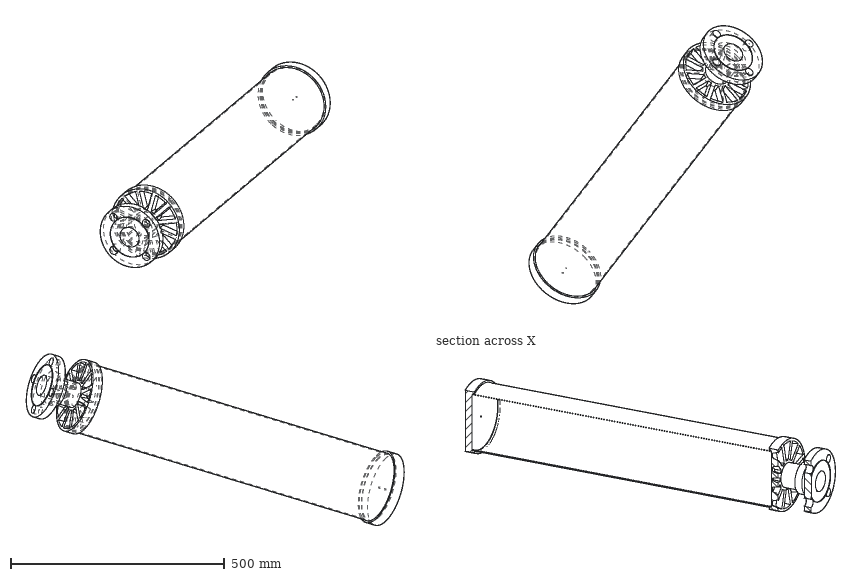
import cadquery as cq
import math

LENGTH = 927.0
REAR_END = LENGTH / 2
FRONT_END = -LENGTH / 2

TUBE_OD = 165.0
TUBE_ID = 160.0

CAP_OD = 175.0
CAP_LENGTH = 25.0
SOCKET_DIAMETER = 166.0
SOCKET_DEPTH = 6.0
VENT_DIAMETER = 3.0
REAR_CAP_OPEN_END = REAR_END - CAP_LENGTH
FRONT_CAP_FACE = -375.0
FRONT_CAP_OPEN_END = FRONT_CAP_FACE + CAP_LENGTH

RIB_COUNT = 12
RIB_WIDTH = 10.0
POCKET_OD = 162.0
POCKET_ID = 72.0
POCKET_DEPTH = 15.0
POCKET_DRAFT = 12.0

PIPE_OD = 60.0
BORE_DIAMETER = 49.0
HUB_OD = 77.0
HUB_LENGTH = 19.0
HUB_CONE_OD = 83.0
HUB_CONE_LENGTH = 8.0
FLANGE_OD = 154.0
FLANGE_THICKNESS = 19.0
RAISED_FACE_OD = 100.0
RAISED_FACE_HEIGHT = 2.0
FLANGE_FACE = FRONT_END + RAISED_FACE_HEIGHT
FLANGE_BACK = FLANGE_FACE + FLANGE_THICKNESS
HUB_FRONT = FLANGE_BACK + HUB_CONE_LENGTH
HUB_BACK = HUB_FRONT + HUB_LENGTH

HOLE_COUNT = 4
HOLE_DIAMETER = 19.5
BOLT_CIRCLE = RAISED_FACE_OD + HOLE_DIAMETER


def section_plane(y):
    """Sketch plane across the column axis at station y, facing +Y."""
    return cq.Plane(origin=(0, y, 0), xDir=(1, 0, 0), normal=(0, 1, 0))


def disc(diameter, y_start, y_end):
    """Cylinder about the column axis between two stations."""
    return cq.Workplane(section_plane(y_start)).circle(diameter / 2).extrude(y_end - y_start)


def turn_about_axis(shape, angle):
    """Copy of a shape turned about the column axis."""
    return shape.rotate((0, 0, 0), (0, 1, 0), angle)


def make_tube():
    """Tube reaching the floors of both cap sockets."""
    y_start = FRONT_CAP_OPEN_END - SOCKET_DEPTH
    y_end = REAR_CAP_OPEN_END + SOCKET_DEPTH
    return disc(TUBE_OD, y_start, y_end).cut(disc(TUBE_ID, y_start, y_end))


def make_rear_cap():
    """Plain cap with a tube socket and a small central vent."""
    cap = disc(CAP_OD, REAR_CAP_OPEN_END, REAR_END)
    socket = disc(SOCKET_DIAMETER, REAR_CAP_OPEN_END, REAR_CAP_OPEN_END + SOCKET_DEPTH)
    vent = disc(VENT_DIAMETER, REAR_CAP_OPEN_END, REAR_END)
    return cap.cut(socket).cut(vent)


def pocket_corner(radius, side):
    """Point where the flank of a radial rib meets a circle; side is +1 or -1."""
    half_angle = math.pi / RIB_COUNT - math.asin(RIB_WIDTH / 2 / radius)
    angle = math.pi / 2 + side * half_angle
    return (radius * math.cos(angle), radius * math.sin(angle))


def make_pockets():
    """One sector pocket per gap between ribs, each narrowing towards its floor."""
    outer = POCKET_OD / 2
    inner = POCKET_ID / 2
    pocket = (
        cq.Workplane(section_plane(FRONT_CAP_FACE))
        .moveTo(*pocket_corner(outer, -1))
        .threePointArc((0, outer), pocket_corner(outer, 1))
        .lineTo(*pocket_corner(inner, 1))
        .threePointArc((0, inner), pocket_corner(inner, -1))
        .close()
        .extrude(POCKET_DEPTH, taper=POCKET_DRAFT)
    )
    pitch = 360 / RIB_COUNT
    return [turn_about_axis(pocket, i * pitch) for i in range(RIB_COUNT)]


def make_hub():
    """Collar behind the flange, with a cone that flares out to meet it."""
    outline = [
        (0, HUB_BACK),
        (HUB_OD / 2, HUB_BACK),
        (HUB_OD / 2, HUB_FRONT),
        (HUB_CONE_OD / 2, FLANGE_BACK),
        (0, FLANGE_BACK),
    ]
    return cq.Workplane("XY").polyline(outline).close().revolve(360, (0, 0, 0), (0, 1, 0))


def make_flange():
    """Round flange with a raised face and bolt holes set between the X and Z axes."""
    flange = disc(FLANGE_OD, FLANGE_FACE, FLANGE_BACK)
    flange = flange.union(disc(RAISED_FACE_OD, FRONT_END, FLANGE_FACE))
    drill = disc(HOLE_DIAMETER, FLANGE_FACE, FLANGE_BACK).translate((BOLT_CIRCLE / 2, 0, 0))
    pitch = 360 / HOLE_COUNT
    for i in range(HOLE_COUNT):
        flange = flange.cut(turn_about_axis(drill, (i + 0.5) * pitch))
    return flange


def make_front_cap():
    """Ribbed cap carrying the inlet pipe, hub and flange, bored right through."""
    cap = disc(CAP_OD, FRONT_CAP_FACE, FRONT_CAP_OPEN_END)
    cap = cap.cut(disc(SOCKET_DIAMETER, FRONT_CAP_OPEN_END - SOCKET_DEPTH, FRONT_CAP_OPEN_END))
    for pocket in make_pockets():
        cap = cap.cut(pocket)
    pipe = disc(PIPE_OD, HUB_BACK, FRONT_CAP_FACE)
    cap = cap.union(pipe).union(make_hub()).union(make_flange())
    return cap.cut(disc(BORE_DIAMETER, FRONT_END, FRONT_CAP_OPEN_END))


tube = make_tube().solids()
front_cap = make_front_cap().solids()
rear_cap = make_rear_cap().solids()

result = cq.Compound.makeCompound([tube.val(), front_cap.val(), rear_cap.val()])